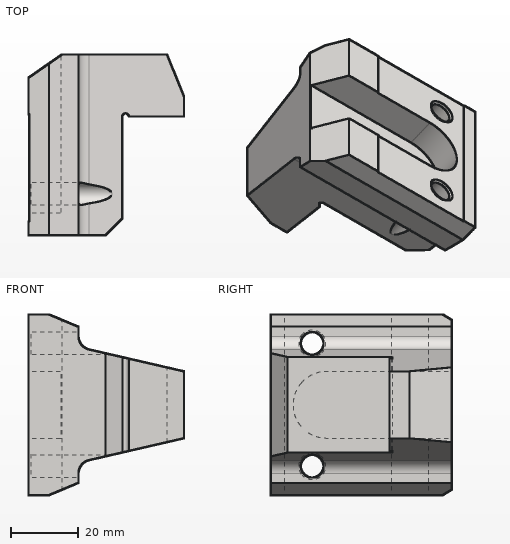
import cadquery as cq
import math

length = 54.0
depth = 46.5
height = 54.0

base_depth = 15.0
base_edge_depth = 6.1
base_slope_drop = 3.7

taper_slope = math.tan(math.radians(13))
tip_height = 20.0
neck_fillet = 4.0

shank_depth = 28.0
shank_chamfer = 4.95
hook_underside = 35.35
hook_nose_x = 41.35
hook_nose_y = 41.35
relief_radius = 0.95

back_chamfer_start = 47.0
back_chamfer_end_x = 10.1
back_recess_depth = 0.2
back_recess_start = 4.15
back_recess_end = 36.05

slot_width = 20.0
slot_depth = 9.8
slot_end_y = 16.7

hole_diameter = 6.7
countersink_diameter = 8.0
hole_y = 12.35
hole_spacing = 36.6


def taper_half_height(x):
    """Half height of the tapered jaw at distance x from the back face."""
    return tip_height / 2 + taper_slope * (depth - x)


def make_body():
    """Base plate and tapered jaw extruded along the full length."""
    half = height / 2
    upper = [
        (0, half),
        (base_edge_depth, half),
        (base_depth, half - base_slope_drop),
        (base_depth, taper_half_height(base_depth)),
        (depth, tip_height / 2),
    ]
    lower = [(x, -z) for x, z in reversed(upper)]
    body = cq.Workplane("XZ").polyline(upper + lower).close().extrude(-length)
    neck_z = taper_half_height(base_depth)
    for z in (neck_z, -neck_z):
        neck_corner = cq.NearestToPointSelector((base_depth, length / 2, z))
        body = body.edges(neck_corner).fillet(neck_fillet)
    return body


def make_outline():
    """Prism with the L-shaped outline, used to trim the body."""
    return (
        cq.Workplane("XY", origin=(0, 0, -height / 2))
        .moveTo(0, 0)
        .lineTo(shank_depth - shank_chamfer, 0)
        .lineTo(shank_depth, shank_chamfer)
        .lineTo(shank_depth, hook_underside)
        .threePointArc(
            (shank_depth + relief_radius, hook_underside + relief_radius),
            (shank_depth + 2 * relief_radius, hook_underside),
        )
        .lineTo(depth, hook_underside)
        .lineTo(depth, hook_nose_y)
        .lineTo(hook_nose_x, length)
        .lineTo(back_chamfer_end_x, length)
        .lineTo(0, back_chamfer_start)
        .lineTo(0, back_recess_end)
        .lineTo(back_recess_depth, back_recess_end)
        .lineTo(back_recess_depth, back_recess_start)
        .lineTo(0, back_recess_start)
        .close()
        .extrude(height)
    )


def make_slot():
    """Slot cutter: round at its lower end, open at the far end."""
    half = slot_width / 2
    return (
        cq.Workplane("YZ")
        .moveTo(length, half)
        .lineTo(slot_end_y, half)
        .threePointArc((slot_end_y - half, 0), (slot_end_y, -half))
        .lineTo(length, -half)
        .close()
        .extrude(slot_depth)
    )


def make_hole(z):
    """Through-hole cutter along X with a 45 degree countersink at the recessed back face."""
    countersink_depth = (countersink_diameter - hole_diameter) / 2
    start = cq.Vector(back_recess_depth, hole_y, z)
    along_x = cq.Vector(1, 0, 0)
    bore = cq.Solid.makeCylinder(hole_diameter / 2, depth, start, along_x)
    sink = cq.Solid.makeCone(
        countersink_diameter / 2, hole_diameter / 2, countersink_depth, start, along_x
    )
    return bore.fuse(sink)


result = make_body().intersect(make_outline()).cut(make_slot())
for hole_z in (-hole_spacing / 2, hole_spacing / 2):
    result = result.cut(cq.Workplane(obj=make_hole(hole_z)))